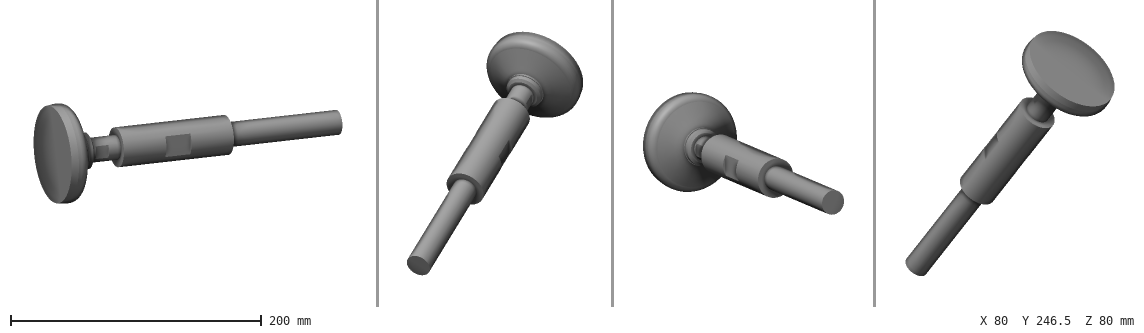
import cadquery as cq
import math

LENGTH = 246.5

ROD_DIAMETER = 20.0
ROD_START = 31.8
NECK_DIAMETER = 19.0
ROD_FLAT_WIDTH = 17.0
ROD_FLAT_START = 33.5
ROD_FLAT_END = 44.5

SOLE_RADIUS = 39.2
RIM_DIAMETER = 80.0
RIM_RADIUS = RIM_DIAMETER / 2
TAPER_HEIGHT = 6.0
BAND_HEIGHT = 9.0
SHOULDER_RADIUS = 34.8
SHOULDER_HEIGHT = 15.8
CONE_TOP_RADIUS = 15.3
CONE_TOP_HEIGHT = 24.0

LIP_RADIUS = 15.5
LIP_HEIGHT = 25.5
LIP_THICKNESS = 0.5
COLLAR_RADIUS = 14.8
COLLAR_SIDE_TOP = 29.3
COLLAR_TOP = 30.8
COLLAR_TOP_RADIUS = 12.3

SLEEVE_DIAMETER = 32.0
SLEEVE_START = 55.0
SLEEVE_END = 150.0
SLEEVE_FLAT_WIDTH = 27.0
SLEEVE_FLAT_LENGTH = 21.7


def rod_blank(diameter, start, end):
    """Solid cylinder along Y between two stations."""
    return cq.Workplane("XZ", origin=(0, end, 0)).circle(diameter / 2).extrude(end - start)


def cut_flats(body, diameter, width, start, end):
    """Cut two parallel wrench flats facing -X and +X."""
    depth = (diameter - width) / 2
    for side in (-1, 1):
        cutter = cq.Workplane("XY").box(depth, end - start, diameter)
        body = body.cut(cutter.translate((side * (width + depth) / 2, (start + end) / 2, 0)))
    return body


def make_foot():
    """Revolved foot plate with its collar."""
    lip_top = LIP_HEIGHT + LIP_THICKNESS
    run = RIM_RADIUS - SHOULDER_RADIUS
    rise = SHOULDER_HEIGHT - BAND_HEIGHT
    arc_radius = (run**2 + rise**2) / (2 * run)
    half_angle = math.asin(rise / arc_radius) / 2
    arc_middle = (
        RIM_RADIUS - arc_radius * (1 - math.cos(half_angle)),
        BAND_HEIGHT + arc_radius * math.sin(half_angle),
    )
    return (
        cq.Workplane("XY")
        .lineTo(SOLE_RADIUS, 0)
        .lineTo(RIM_RADIUS, TAPER_HEIGHT)
        .lineTo(RIM_RADIUS, BAND_HEIGHT)
        .threePointArc(arc_middle, (SHOULDER_RADIUS, SHOULDER_HEIGHT))
        .lineTo(CONE_TOP_RADIUS, CONE_TOP_HEIGHT)
        .lineTo(COLLAR_RADIUS, LIP_HEIGHT)
        .lineTo(LIP_RADIUS, LIP_HEIGHT)
        .lineTo(LIP_RADIUS, lip_top)
        .lineTo(COLLAR_RADIUS, lip_top)
        .lineTo(COLLAR_RADIUS, COLLAR_SIDE_TOP)
        .lineTo(COLLAR_TOP_RADIUS, COLLAR_TOP)
        .lineTo(0, COLLAR_TOP)
        .close()
        .revolve(360, (0, 0, 0), (0, 1, 0))
    )


def make_spindle():
    """Foot, neck and rod as one piece, with the rod's wrench flats."""
    rod = rod_blank(ROD_DIAMETER, ROD_START, LENGTH)
    rod = cut_flats(rod, ROD_DIAMETER, ROD_FLAT_WIDTH, ROD_FLAT_START, ROD_FLAT_END)
    neck = rod_blank(NECK_DIAMETER, COLLAR_TOP, ROD_START)
    return make_foot().union(neck).union(rod)


def make_sleeve():
    """Tube that fits around the rod, with wrench flats at mid-length."""
    middle = (SLEEVE_START + SLEEVE_END) / 2
    flat_start = middle - SLEEVE_FLAT_LENGTH / 2
    flat_end = middle + SLEEVE_FLAT_LENGTH / 2
    blank = rod_blank(SLEEVE_DIAMETER, SLEEVE_START, SLEEVE_END)
    blank = cut_flats(blank, SLEEVE_DIAMETER, SLEEVE_FLAT_WIDTH, flat_start, flat_end)
    return blank.cut(rod_blank(ROD_DIAMETER, SLEEVE_START, SLEEVE_END))


spindle = make_spindle()
sleeve = make_sleeve()
result = cq.Compound.makeCompound([spindle.val(), sleeve.val()])